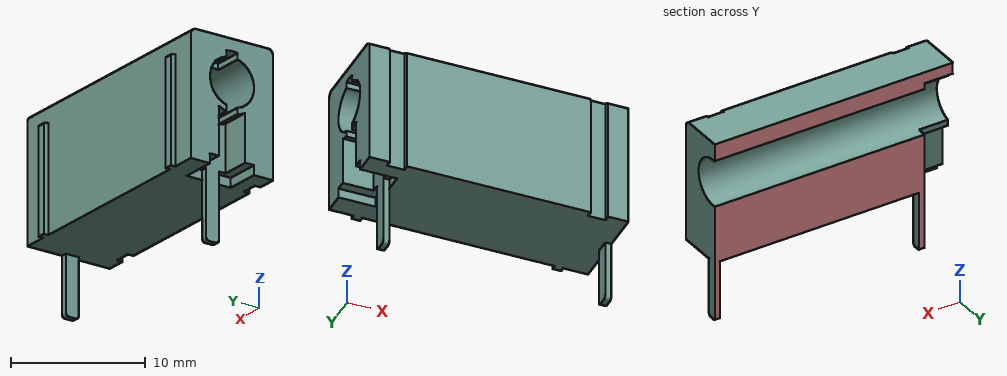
import cadquery as cq

length = 21.0
width = 7.5
height = 10.5
top_edge_radius = 0.5

bore_radius = 2.0
bore_axis_z = 7.0
key_radius = 2.5
gap_width = 1.0

slot_width = 2.4
slot_depth = 2.5
recess_width = 4.0
recess_height = 0.8

pin_width = 1.2
pin_thickness = 0.5
pin_drop = 5.0
pin_tip_radius = 0.3

rib_width = 0.7
rib_projection = 0.4
rib_height = 9.0
rib_edge_radius = 0.2
groove_width = 1.4
groove_depth = 0.5
rib_end_distance = 2.35

end_x = length / 2
side_y = width / 2
recess_depth = slot_depth + pin_thickness
rib_x = end_x - rib_end_distance


def block(x_start, x_size, y_size, z_bottom, z_top):
    """Box starting at x_start, centred on Y."""
    return (
        cq.Workplane("XY", origin=(x_start, 0, z_bottom))
        .box(x_size, y_size, z_top - z_bottom, centered=(False, True, False))
    )


def bore_cylinder(radius, depth):
    """Cylinder on the bore axis, running inwards from the -X face."""
    return cq.Workplane("YZ", origin=(-end_x, 0, bore_axis_z)).circle(radius).extrude(depth)


def make_housing():
    body = block(-end_x, length, width, 0, height)
    body = body.edges("|X and >Z").fillet(top_edge_radius)
    return body.cut(bore_cylinder(bore_radius, length))


def make_key_notch():
    """Notch above the bore, with its roof concentric with the bore."""
    column = block(-end_x, slot_depth, gap_width, bore_axis_z, height)
    return column.intersect(bore_cylinder(key_radius, slot_depth))


def make_terminal_opening():
    """Slot below the bore, leaving two curved lips either side of a narrow gap."""
    slot = block(-end_x, slot_depth, slot_width, 0, bore_axis_z)
    slot = slot.cut(bore_cylinder(key_radius, slot_depth))
    gap = block(-end_x, slot_depth, gap_width, 0, bore_axis_z)
    recess = block(-end_x, recess_depth, recess_width, 0, recess_height)
    return slot.union(gap).union(recess)


def make_pin(x_start):
    """Flat pin with a rounded tip, rising into the housing as far as the top of the recess."""
    pin = block(x_start, pin_thickness, pin_width, -pin_drop, recess_height)
    return pin.edges("|X and <Z").fillet(pin_tip_radius)


def make_rib(x_centre):
    rib = (
        cq.Workplane("XY", origin=(x_centre, side_y, 0))
        .box(rib_width, rib_projection, rib_height, centered=(True, False, False))
    )
    return rib.edges("|X and >Y and >Z").fillet(rib_edge_radius)


def make_groove(x_centre):
    return (
        cq.Workplane("XY", origin=(x_centre, -side_y, 0))
        .box(groove_width, groove_depth, height, centered=(True, False, False))
    )


result = make_housing().cut(make_key_notch()).cut(make_terminal_opening())

for x_centre in (-rib_x, rib_x):
    result = result.union(make_rib(x_centre)).cut(make_groove(x_centre))

for pin_start in (-end_x + slot_depth, end_x - pin_thickness):
    result = result.union(make_pin(pin_start))